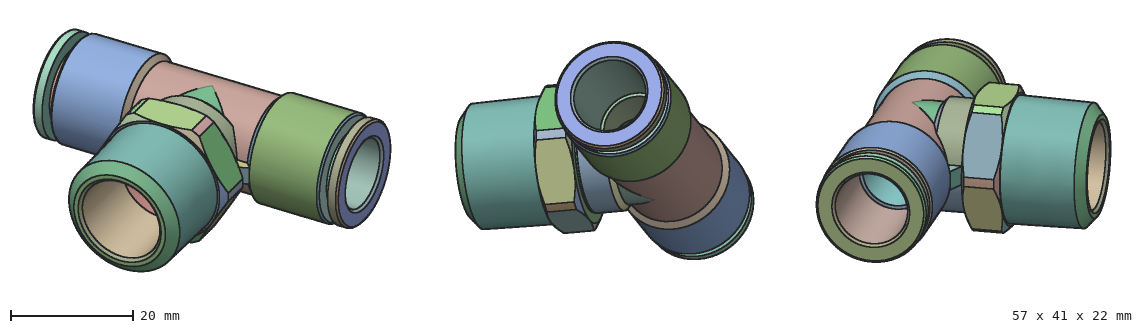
import cadquery as cq
import math

half_length = 28.5
run_radius = 8.5
passage_radius = 11.0 / 2

sleeve_radius = 19.0 / 2
sleeve_inner_x = 11.2
sleeve_inner_chamfer = sleeve_radius - run_radius
sleeve_outer_x = 25.1
sleeve_outer_chamfer = 0.35
collar_neck_radius = 13.5 / 2
flange_radius = 18.5 / 2
flange_width = 1.8
flange_chamfer = 0.35
socket_radius = 12.2 / 2
socket_floor_x = 11.4
socket_chamfer = 0.45

branch_end = 41.0 - sleeve_radius
branch_neck_radius = 9.4
branch_neck_start = 5.9
branch_neck_end = 10.7
spigot_radius = 18.5 / 2

nut_start = 11.05
nut_end = 17.5
nut_across_flats = 22.0
nut_corner_radius = 12.25
nut_chamfer_angle = 30

thread_root_radius = 10.6
thread_tip_radius = 10.4
thread_chamfer_length = 1.6
thread_face_radius = 8.55
thread_bore_radius = 14.5 / 2
thread_bore_chamfer = 0.5
bore_cone_angle = 60

web_thickness = 3.2


def turn_about_x(points):
    """Revolve (x, radius) points about the X axis."""
    return cq.Workplane("XY").polyline(points).close().revolve(360, (0, 0), (1, 0))


def turn_about_branch(points):
    """Revolve (radius, distance from the run axis) points about the branch axis."""
    outline = [(radius, -distance) for radius, distance in points]
    return cq.Workplane("XY").polyline(outline).close().revolve(360, (0, 0), (0, 1))


def make_run_half():
    flange_inner_x = half_length - flange_width
    return turn_about_x([
        (0, 0),
        (0, run_radius),
        (sleeve_inner_x, run_radius),
        (sleeve_inner_x + sleeve_inner_chamfer, sleeve_radius),
        (sleeve_outer_x - sleeve_outer_chamfer, sleeve_radius),
        (sleeve_outer_x, sleeve_radius - sleeve_outer_chamfer),
        (sleeve_outer_x, collar_neck_radius),
        (flange_inner_x, collar_neck_radius),
        (flange_inner_x, flange_radius),
        (half_length - flange_chamfer, flange_radius),
        (half_length, flange_radius - flange_chamfer),
        (half_length, 0),
    ])


def make_branch():
    neck_chamfer = branch_neck_radius - run_radius
    return turn_about_branch([
        (0, 0),
        (run_radius, 0),
        (run_radius, branch_neck_start - neck_chamfer),
        (branch_neck_radius, branch_neck_start),
        (branch_neck_radius, branch_neck_end),
        (spigot_radius, branch_neck_end),
        (spigot_radius, nut_end),
        (thread_root_radius, nut_end),
        (thread_tip_radius, branch_end - thread_chamfer_length),
        (thread_face_radius, branch_end),
        (0, branch_end),
    ])


def make_nut():
    across_corners = nut_across_flats / math.cos(math.pi / 6)
    hexagon = (
        cq.Workplane("XZ", origin=(0, -nut_start, 0))
        .polygon(6, across_corners)
        .extrude(nut_end - nut_start)
    )
    face_radius = nut_across_flats / 2
    chamfer_length = (nut_corner_radius - face_radius) * math.tan(math.radians(nut_chamfer_angle))
    turned_limit = turn_about_branch([
        (0, nut_start),
        (face_radius, nut_start),
        (nut_corner_radius, nut_start + chamfer_length),
        (nut_corner_radius, nut_end - chamfer_length),
        (face_radius, nut_end),
        (0, nut_end),
    ])
    return hexagon.intersect(turned_limit)


def make_webs():
    web_tip_x = sleeve_inner_x + sleeve_inner_chamfer
    return (
        cq.Workplane("XY", origin=(0, 0, -web_thickness / 2))
        .polyline([
            (-web_tip_x, -run_radius + sleeve_inner_chamfer),
            (-web_tip_x, -sleeve_radius),
            (-branch_neck_radius, -branch_neck_end),
            (branch_neck_radius, -branch_neck_end),
            (web_tip_x, -sleeve_radius),
            (web_tip_x, -run_radius + sleeve_inner_chamfer),
        ])
        .close()
        .extrude(web_thickness)
    )


def make_socket_bore():
    return turn_about_x([
        (0, 0),
        (0, passage_radius),
        (socket_floor_x, passage_radius),
        (socket_floor_x, socket_radius),
        (half_length - socket_chamfer, socket_radius),
        (half_length, socket_radius + socket_chamfer),
        (half_length, 0),
    ])


def make_branch_bore():
    cone_length = (thread_bore_radius - passage_radius) / math.tan(math.radians(bore_cone_angle))
    return turn_about_branch([
        (0, 0),
        (passage_radius, 0),
        (passage_radius, nut_end - cone_length),
        (thread_bore_radius, nut_end),
        (thread_bore_radius, branch_end - thread_bore_chamfer),
        (thread_bore_radius + thread_bore_chamfer, branch_end),
        (0, branch_end),
    ])


run_half = make_run_half()
run = run_half.union(run_half.mirror("YZ"))
body = run.union(make_branch()).union(make_nut()).union(make_webs())

socket_bore = make_socket_bore()
result = body.cut(socket_bore).cut(socket_bore.mirror("YZ")).cut(make_branch_bore())